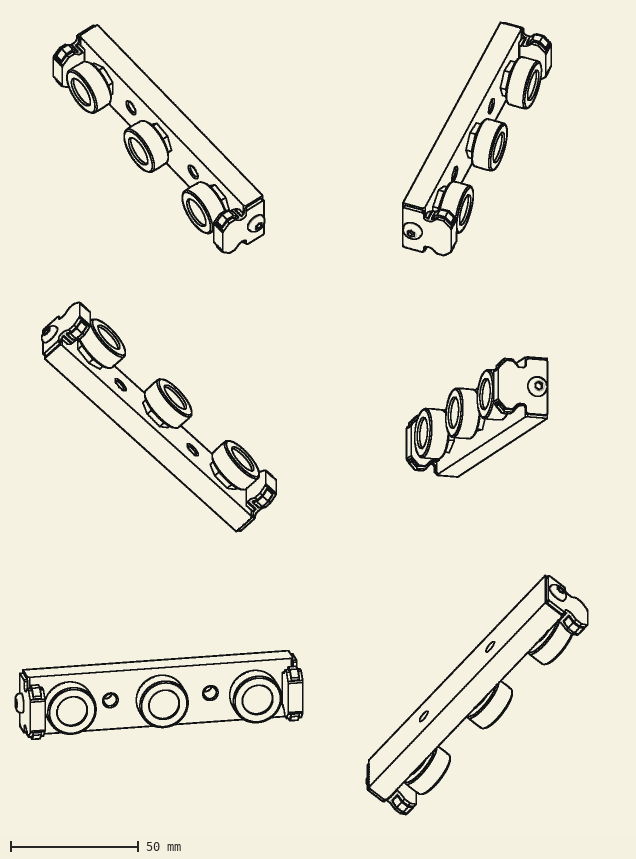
import cadquery as cq
import math


LENGTH = 113.5
DEPTH = 20.8

BAR_LENGTH = 106.2
BAR_DEPTH = 9.0
BAR_HEIGHT = 24.0
BAR_END_CHAMFER = 0.8
HOLE_SPACING = 39.9
HOLE_DIAMETER = 5.0
HOLE_CHAMFER = 0.6

ROLLER_PLACES = [(-37.6, 0.7, 30), (-0.8, 0.7, -9), (36.5, -0.1, -9)]
HEX_ACROSS_FLATS = 12.1
HEX_THICKNESS = 2.3
NECK_DIAMETER = 8.3
NECK_LENGTH = 0.9
RING_WIDTH = 7.9
RING_END_DIAMETER = 19.3
RING_CROWN = 0.1
RING_CHAMFER = 0.6
RECESS_DIAMETER = 12.1
RECESS_DEPTH = 1.0

CAP_LENGTH = 108.9
CAP_THICKNESS = 5.9
CAP_REAR_GAP = 0.5
CAP_CORNER_CHAMFER = 0.6
WING_FRONT = 9.2
WING_HALF_HEIGHT = 11.0
NOTCH_RADIUS = 1.6
NOTCH_HALF_HEIGHT = 7.3
HEAD_TOP_START = 14.8
HEAD_HALF_HEIGHT = 9.6
HEAD_TOP_END = 17.6
FRONT_HALF_HEIGHT = 6.0
FRONT_BEVEL_DEPTH = 0.3
LIP_CHAMFER = 0.9
LIP_HALF_HEIGHT = 6.7
LIP_SLOPE = 0.6

BAND_WIDTH = 3.2
BAND_REAR = 12.1
BAND_TOP_START = 14.4
BAND_TOP_END = 17.7
BAND_FRONT = 20.2
BAND_HALF_HEIGHT = 10.7
BAND_SHOULDER = 8.0

SCREW_DIAMETER = 7.7
SCREW_FROM_REAR = 4.8
SCREW_EDGE_RADIUS = 1.8
SOCKET_CORNER_DIAMETER = 3.2
SOCKET_DEPTH = 1.4

BAR_END = BAR_LENGTH / 2
CAP_OUTER = CAP_LENGTH / 2
CAP_INNER = CAP_OUTER - CAP_THICKNESS
SCREW_HEIGHT = (LENGTH - CAP_LENGTH) / 2


def make_bar():
    bar = cq.Workplane("XY").box(BAR_LENGTH, BAR_DEPTH, BAR_HEIGHT, centered=(True, False, True))
    bar = bar.translate((0, -BAR_DEPTH, 0))
    bar = bar.faces("<Y").edges("|Z").chamfer(BAR_END_CHAMFER)
    holes = (
        cq.Workplane("XZ")
        .pushPoints([(-HOLE_SPACING / 2, 0), (HOLE_SPACING / 2, 0)])
        .circle(HOLE_DIAMETER / 2)
        .extrude(BAR_DEPTH)
    )
    bar = bar.cut(holes)
    return bar.faces("<Y").edges("%CIRCLE").chamfer(HOLE_CHAMFER)


def make_roller(x, z, hex_turn):
    """Hexagon, neck and crowned ring in one piece, standing on the bar's front face."""
    hex_diameter = HEX_ACROSS_FLATS / math.cos(math.pi / 6)
    hexagon = cq.Workplane("XZ").polygon(6, hex_diameter).extrude(HEX_THICKNESS)
    hexagon = hexagon.rotate((0, 0, 0), (0, 1, 0), -hex_turn)

    ring_start = HEX_THICKNESS + NECK_LENGTH
    ring_end = ring_start + RING_WIDTH
    recess_floor = ring_end - RECESS_DEPTH
    edge_radius = RING_END_DIAMETER / 2
    face_radius = edge_radius - RING_CHAMFER
    ring = (
        cq.Workplane("XY")
        .moveTo(0, -HEX_THICKNESS)
        .lineTo(NECK_DIAMETER / 2, -HEX_THICKNESS)
        .lineTo(NECK_DIAMETER / 2, -ring_start)
        .lineTo(face_radius, -ring_start)
        .lineTo(edge_radius, -ring_start - RING_CHAMFER)
        .threePointArc(
            (edge_radius + RING_CROWN, -(ring_start + ring_end) / 2),
            (edge_radius, -ring_end + RING_CHAMFER),
        )
        .lineTo(face_radius, -ring_end)
        .lineTo(RECESS_DIAMETER / 2, -ring_end)
        .lineTo(RECESS_DIAMETER / 2, -recess_floor)
        .lineTo(0, -recess_floor)
        .close()
        .revolve(360, (0, 0, 0), (0, 1, 0))
    )
    return hexagon.union(ring).translate((x, -BAR_DEPTH, z))


def mirrored_in_z(half):
    return half.union(half.mirror("XY"))


def make_cap_plate():
    """Cap of the +X end: an end wall over the bar and a thick head in front of it."""
    notch_centre = (-WING_FRONT - NOTCH_RADIUS, NOTCH_HALF_HEIGHT + NOTCH_RADIUS)
    notch_reach = NOTCH_RADIUS * math.sqrt(0.5)
    slope_foot = HEAD_TOP_START - (HEAD_HALF_HEIGHT - NOTCH_HALF_HEIGHT)
    foot_centre = (-slope_foot + NOTCH_RADIUS * math.tan(math.pi / 8), notch_centre[1])
    foot_middle = (
        foot_centre[0] - NOTCH_RADIUS * math.sin(math.pi / 8),
        foot_centre[1] - NOTCH_RADIUS * math.cos(math.pi / 8),
    )
    bevel_start = DEPTH - FRONT_BEVEL_DEPTH
    bevel_half_height = HEAD_HALF_HEIGHT - (bevel_start - HEAD_TOP_END)
    half = (
        cq.Workplane("YZ", origin=(CAP_INNER, 0, 0))
        .moveTo(-CAP_REAR_GAP, 0)
        .lineTo(-CAP_REAR_GAP, WING_HALF_HEIGHT - CAP_CORNER_CHAMFER)
        .lineTo(-CAP_REAR_GAP - CAP_CORNER_CHAMFER, WING_HALF_HEIGHT)
        .lineTo(-WING_FRONT + CAP_CORNER_CHAMFER, WING_HALF_HEIGHT)
        .lineTo(-WING_FRONT, WING_HALF_HEIGHT - CAP_CORNER_CHAMFER)
        .lineTo(-WING_FRONT, notch_centre[1])
        .threePointArc(
            (notch_centre[0] + notch_reach, notch_centre[1] - notch_reach),
            (notch_centre[0], NOTCH_HALF_HEIGHT),
        )
        .lineTo(foot_centre[0], NOTCH_HALF_HEIGHT)
        .threePointArc(foot_middle, (foot_centre[0] - notch_reach, foot_centre[1] - notch_reach))
        .lineTo(-HEAD_TOP_START, HEAD_HALF_HEIGHT)
        .lineTo(-HEAD_TOP_END, HEAD_HALF_HEIGHT)
        .lineTo(-bevel_start, bevel_half_height)
        .lineTo(-DEPTH, FRONT_HALF_HEIGHT)
        .lineTo(-DEPTH, 0)
        .close()
        .extrude(CAP_THICKNESS)
    )
    bar_room = (
        cq.Workplane("XY")
        .moveTo(CAP_INNER, 0)
        .lineTo(BAR_END, 0)
        .lineTo(BAR_END, -BAR_DEPTH)
        .lineTo(CAP_INNER + LIP_CHAMFER, -BAR_DEPTH)
        .lineTo(CAP_INNER, -BAR_DEPTH - LIP_CHAMFER)
        .close()
        .extrude(BAR_HEIGHT / 2)
    )
    lip_trim = (
        cq.Workplane("YZ", origin=(CAP_INNER, 0, 0))
        .moveTo(-BAR_DEPTH, LIP_HALF_HEIGHT)
        .lineTo(notch_centre[0] + LIP_SLOPE, LIP_HALF_HEIGHT)
        .lineTo(notch_centre[0], NOTCH_HALF_HEIGHT)
        .lineTo(notch_centre[0], BAR_HEIGHT / 2)
        .lineTo(-BAR_DEPTH, BAR_HEIGHT / 2)
        .close()
        .extrude(BAR_END - CAP_INNER)
    )
    return mirrored_in_z(half.cut(bar_room).cut(lip_trim))


def make_cap_band():
    half = (
        cq.Workplane("YZ", origin=(BAR_END - BAND_WIDTH, 0, 0))
        .moveTo(-BAND_REAR, 0)
        .lineTo(-BAND_REAR, BAND_SHOULDER)
        .lineTo(-BAND_TOP_START, BAND_HALF_HEIGHT)
        .lineTo(-BAND_TOP_END, BAND_HALF_HEIGHT)
        .lineTo(-BAND_FRONT, BAND_SHOULDER)
        .lineTo(-BAND_FRONT, 0)
        .close()
        .extrude(BAND_WIDTH)
    )
    return mirrored_in_z(half)


def make_screw_head():
    """Button head with a hexagonal socket, on the outer face of the +X cap."""
    radius = SCREW_DIAMETER / 2
    top_radius = radius - SCREW_EDGE_RADIUS
    rim_height = SCREW_HEIGHT - SCREW_EDGE_RADIUS
    arc_reach = SCREW_EDGE_RADIUS * math.sqrt(0.5)
    head = (
        cq.Workplane("XY")
        .lineTo(0, radius)
        .lineTo(rim_height, radius)
        .threePointArc((rim_height + arc_reach, top_radius + arc_reach), (SCREW_HEIGHT, top_radius))
        .lineTo(SCREW_HEIGHT, 0)
        .close()
        .revolve(360, (0, 0, 0), (1, 0, 0))
    )
    socket = (
        cq.Workplane("YZ", origin=(SCREW_HEIGHT - SOCKET_DEPTH, 0, 0))
        .polygon(6, SOCKET_CORNER_DIAMETER)
        .extrude(SOCKET_DEPTH)
        .rotate((0, 0, 0), (1, 0, 0), 30)
    )
    return head.cut(socket).translate((CAP_OUTER, -SCREW_FROM_REAR, 0))


def make_end_cap():
    return make_cap_plate().union(make_cap_band()).union(make_screw_head())


bar = make_bar()
rollers = [make_roller(x, z, hex_turn) for x, z, hex_turn in ROLLER_PLACES]
right_cap = make_end_cap()
end_caps = [right_cap, right_cap.mirror("YZ")]

bodies = [bar, *rollers, *end_caps]
result = cq.Compound.makeCompound([body.val() for body in bodies])